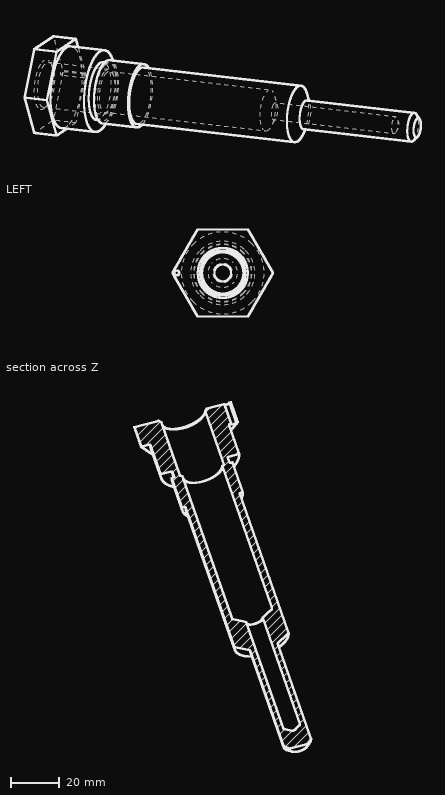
import cadquery as cq
import math

total_length = 167.0
hex_end = 10.0
boss_end = 25.0
collar_start = 27.9
collar_end = 43.1
body_end = 113.5

hex_across_flats = 36.0
boss_diameter = 34.0
relief_diameter = 24.0
collar_diameter = 26.4
body_diameter = 23.5
pin_diameter = 12.0
pin_chamfer = 2.0
shoulder_angle = math.radians(60)

mouth_diameter = 20.7
entry_diameter = 18.7
main_bore_diameter = 17.0
pin_bore_diameter = 7.0
entry_depth = collar_start
main_bore_depth = 100.2
pin_bore_depth = 157.0
drill_angle = math.radians(59)

wire_hole_diameter = 2.0
wire_hole_offset = 19.0


def cone_length(large_diameter, small_diameter, half_angle):
    """Axial length of a cone between two diameters."""
    return (large_diameter - small_diameter) / 2 / math.tan(half_angle)


def revolve_profile(stations):
    """Solid of revolution about X through (x, diameter) stations, first and last on the axis."""
    points = [(x, diameter / 2) for x, diameter in stations]
    profile = cq.Workplane("XY").polyline(points).close()
    return profile.revolve(360, (0, 0, 0), (1, 0, 0))


def make_head():
    """Hexagon with corners on +Y and -Y."""
    across_corners = hex_across_flats / math.cos(math.pi / 6)
    return cq.Workplane("YZ").polygon(6, across_corners).extrude(hex_end)


def make_shaft():
    """Boss, relief, collar, body and pin."""
    shoulder = cone_length(body_diameter, pin_diameter, shoulder_angle)
    return revolve_profile([
        (0, 0),
        (0, boss_diameter),
        (boss_end, boss_diameter),
        (boss_end, relief_diameter),
        (collar_start, relief_diameter),
        (collar_start, collar_diameter),
        (collar_end, collar_diameter),
        (collar_end, body_diameter),
        (body_end, body_diameter),
        (body_end + shoulder, pin_diameter),
        (total_length - pin_chamfer, pin_diameter),
        (total_length, pin_diameter - 2 * pin_chamfer),
        (total_length, 0),
    ])


def make_bore():
    """Chamfered mouth, entry bore, main bore and drilled pin bore."""
    mouth_chamfer = (mouth_diameter - entry_diameter) / 2
    entry_cone = cone_length(entry_diameter, main_bore_diameter, drill_angle)
    main_cone = cone_length(main_bore_diameter, pin_bore_diameter, drill_angle)
    drill_point = cone_length(pin_bore_diameter, 0, drill_angle)
    return revolve_profile([
        (0, 0),
        (0, mouth_diameter),
        (mouth_chamfer, entry_diameter),
        (entry_depth, entry_diameter),
        (entry_depth + entry_cone, main_bore_diameter),
        (main_bore_depth, main_bore_diameter),
        (main_bore_depth + main_cone, pin_bore_diameter),
        (pin_bore_depth, pin_bore_diameter),
        (pin_bore_depth + drill_point, 0),
    ])


def make_wire_hole():
    """Cutter running the full thickness of the hexagon near its +Y corner."""
    hole = cq.Workplane("YZ").center(wire_hole_offset, 0)
    return hole.circle(wire_hole_diameter / 2).extrude(hex_end)


result = make_head().union(make_shaft()).cut(make_bore()).cut(make_wire_hole())